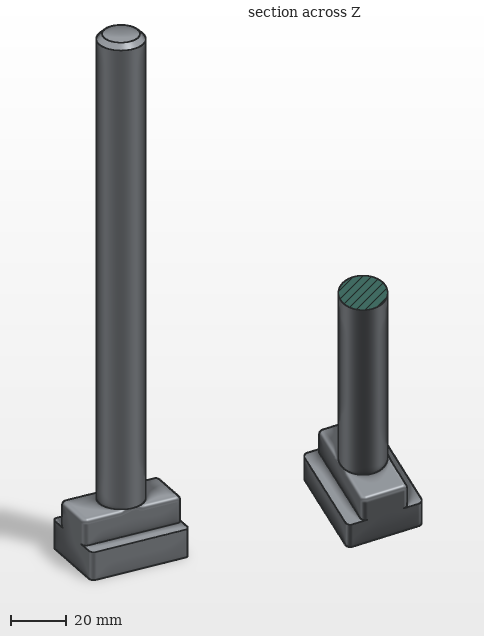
import cadquery as cq

total_height = 211.0
shaft_diameter = 18.0
tip_chamfer = 2.1

head_width = 30.0
head_length = 40.0
flange_height = 11.4
head_height = 22.0
neck_width = 18.4
edge_radius = 2.0


def make_flange():
    """Wide lower block with rounded vertical corners."""
    block = cq.Workplane("XY").box(head_width, head_length, flange_height, centered=(True, True, False))
    return block.edges("|Z").fillet(edge_radius)


def make_neck_with_shaft():
    """Narrow upper block and chamfered round bar, with the rim of the block rounded up to the bar."""
    block = cq.Workplane("XY").box(neck_width, head_length, head_height, centered=(True, True, False))
    block = block.edges("|Z").fillet(edge_radius)
    bar = cq.Workplane("XY").circle(shaft_diameter / 2).extrude(total_height)
    bar = bar.faces(">Z").chamfer(tip_chamfer)
    body = block.union(bar)
    rim_start = (0, head_length / 2, head_height)
    rim_end = (0, -head_length / 2, head_height)
    rim = body.edges(cq.selectors.NearestToPointSelector(rim_start))
    rim = rim.add(body.edges(cq.selectors.NearestToPointSelector(rim_end)))
    return rim.fillet(edge_radius)


result = make_flange().union(make_neck_with_shaft())